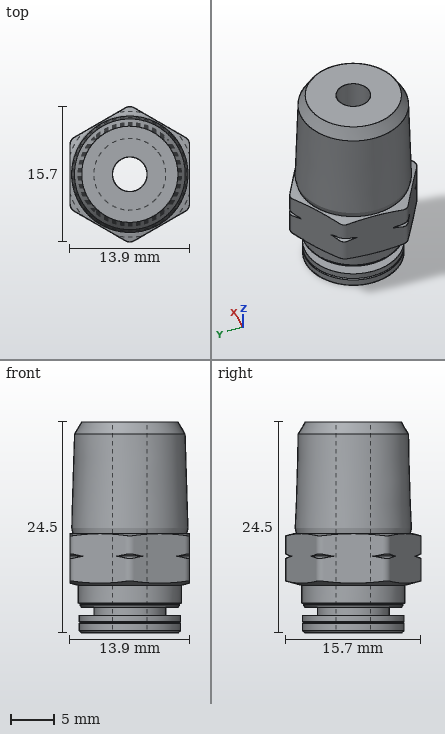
import cadquery as cq
import math

total_height = 24.5
bore_diameter = 4.0

flange_diameter = 11.8
flange_height = 2.03
end_chamfer = 0.27
flange_groove_bottom = 1.08
flange_groove_root = 1.22
flange_groove_top = 1.3
flange_groove_depth = 0.22
neck_diameter = 8.35
neck_top = 2.96
insert_diameter = 11.6
insert_chamfer_width = 0.17
insert_chamfer_top = 3.23
collar_diameter = 12
collar_bottom = 3.45
collar_chamfer_height = 0.1

across_flats = 13.9
hex_bottom = 5.51
hex_top = 11.52
corner_fillet = 1.0
bevel_slope = math.tan(math.radians(15))
top_bevel_radius = 6.9

corner_groove_height = 8.9
corner_groove_root_radius = 7.3
corner_groove_flank_slope = math.tan(math.radians(25))

taper_bottom = 12.15
taper_bottom_diameter = 13.52
taper_top_diameter = 12.86
undercut_diameter = 13.23
top_chamfer_height = 1.45
top_face_diameter = 11.17

clear_radius = across_flats


def revolve_profile(points):
    """Revolve (radius, height) points about the Z axis."""
    return cq.Workplane("XZ").polyline(points).close().revolve(360, (0, 0), (0, 1))


def make_lower_body():
    flange_radius = flange_diameter / 2
    groove_radius = flange_radius - flange_groove_depth
    insert_radius = insert_diameter / 2
    return revolve_profile([
        (0, 0),
        (flange_radius - end_chamfer, 0),
        (flange_radius, end_chamfer),
        (flange_radius, flange_groove_bottom),
        (groove_radius, flange_groove_root),
        (flange_radius, flange_groove_top),
        (flange_radius, flange_height),
        (neck_diameter / 2, flange_height),
        (neck_diameter / 2, neck_top),
        (insert_radius - insert_chamfer_width, neck_top),
        (insert_radius, insert_chamfer_top),
        (insert_radius, collar_bottom - collar_chamfer_height),
        (collar_diameter / 2, collar_bottom),
        (collar_diameter / 2, hex_bottom),
        (0, hex_bottom),
    ])


def make_hexagon():
    across_corners = across_flats / math.cos(math.radians(30))
    hexagon = (
        cq.Workplane("XY")
        .workplane(offset=hex_bottom)
        .polygon(6, across_corners)
        .extrude(hex_top - hex_bottom)
        .rotate((0, 0, 0), (0, 0, 1), 30)
        .edges("|Z")
        .fillet(corner_fillet)
    )

    bottom_bevel_radius = collar_diameter / 2
    bottom_rise = (clear_radius - bottom_bevel_radius) * bevel_slope
    top_drop = (clear_radius - top_bevel_radius) * bevel_slope
    bevel_envelope = revolve_profile([
        (0, hex_bottom),
        (bottom_bevel_radius, hex_bottom),
        (clear_radius, hex_bottom + bottom_rise),
        (clear_radius, hex_top - top_drop),
        (top_bevel_radius, hex_top),
        (0, hex_top),
    ])

    mouth_half_width = (clear_radius - corner_groove_root_radius) * corner_groove_flank_slope
    corner_groove = revolve_profile([
        (corner_groove_root_radius, corner_groove_height),
        (clear_radius, corner_groove_height - mouth_half_width),
        (clear_radius, corner_groove_height + mouth_half_width),
    ])
    return hexagon.intersect(bevel_envelope).cut(corner_groove)


def make_tapered_body():
    return revolve_profile([
        (0, hex_top),
        (undercut_diameter / 2, hex_top),
        (taper_bottom_diameter / 2, taper_bottom),
        (taper_top_diameter / 2, total_height - top_chamfer_height),
        (top_face_diameter / 2, total_height),
        (0, total_height),
    ])


bore = cq.Workplane("XY").circle(bore_diameter / 2).extrude(total_height)
result = make_lower_body().union(make_hexagon()).union(make_tapered_body()).cut(bore)